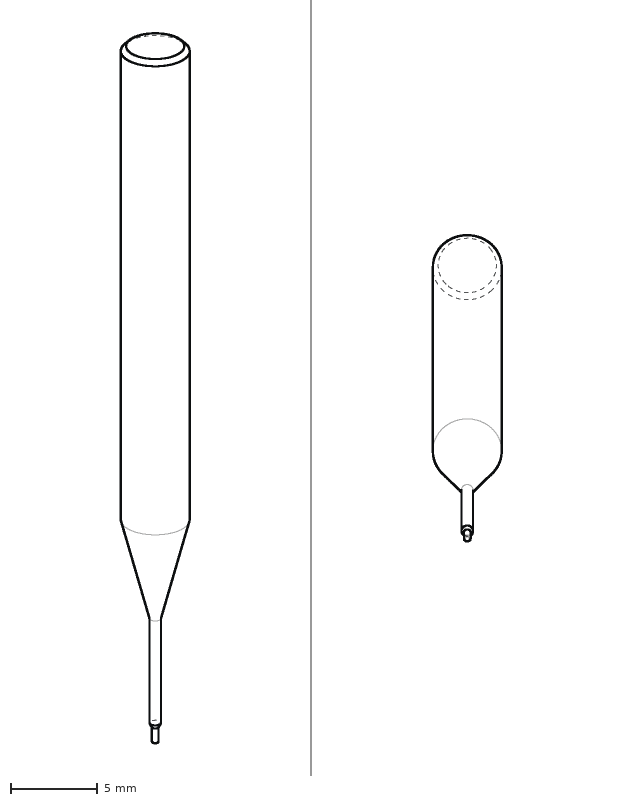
import cadquery as cq

TOTAL_LENGTH = 45.0
SHANK_DIAMETER = 4.0
SHANK_CHAMFER = 0.3
SHANK_BOTTOM_Z = 14.4
NECK_DIAMETER = 0.68
NECK_TOP_Z = 8.0
NECK_BOTTOM_Z = 1.25
TIP_DIAMETER = 0.4
TIP_LENGTH = 1.0
TIP_CORNER_RADIUS = 0.1

SHANK_RADIUS = SHANK_DIAMETER / 2
NECK_RADIUS = NECK_DIAMETER / 2
TIP_RADIUS = TIP_DIAMETER / 2


def make_holder():
    """Chamfered shank, long taper, slender neck and short taper down to the tip."""
    return (
        cq.Workplane("XZ")
        .moveTo(0, TIP_LENGTH)
        .lineTo(TIP_RADIUS, TIP_LENGTH)
        .lineTo(NECK_RADIUS, NECK_BOTTOM_Z)
        .lineTo(NECK_RADIUS, NECK_TOP_Z)
        .lineTo(SHANK_RADIUS, SHANK_BOTTOM_Z)
        .lineTo(SHANK_RADIUS, TOTAL_LENGTH - SHANK_CHAMFER)
        .lineTo(SHANK_RADIUS - SHANK_CHAMFER, TOTAL_LENGTH)
        .lineTo(0, TOTAL_LENGTH)
        .close()
        .revolve(360, (0, 0, 0), (0, 1, 0))
    )


def make_tip():
    """Cylindrical cutting tip with a rounded lower edge, touching the holder end."""
    return (
        cq.Workplane("XY")
        .circle(TIP_RADIUS)
        .extrude(TIP_LENGTH)
        .faces("<Z")
        .edges()
        .fillet(TIP_CORNER_RADIUS)
    )


holder = make_holder()
tip = make_tip()

result = cq.Compound.makeCompound([holder.val(), tip.val()])